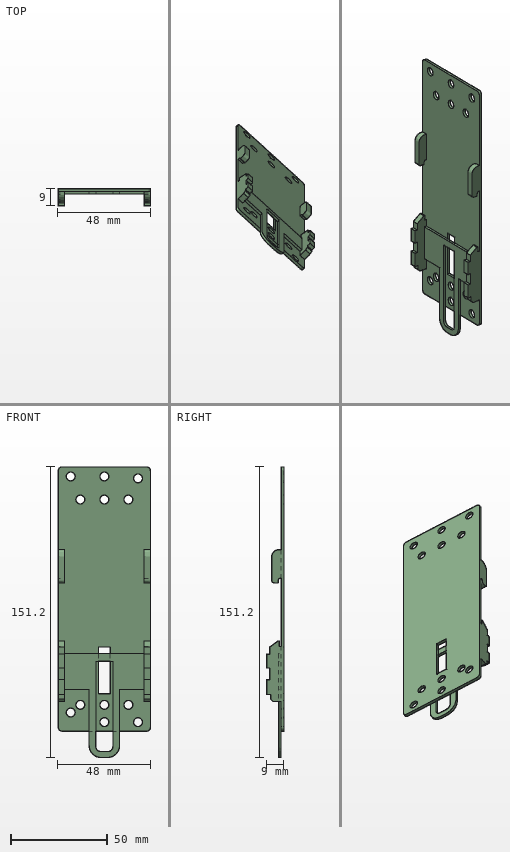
import cadquery as cq
import math


plate_width = 48.0
plate_height = 137.5
plate_thickness = 1.5
plate_corner_radius = 2.0
total_depth = 9.0

hole_diameter = 4.5
outer_hole_x = 17.5
inner_hole_x = 12.5
lower_hole_z = 4.75
lower_left_hole_z = 9.75
inner_lower_hole_z = 13.75
inner_upper_hole_z = 120.5
upper_right_hole_z = 131.5
upper_hole_z = 132.5

window_width = 6.0
window_bottom = 19.6
window_top = 43.7

latch_thickness = 1.35
crossbar_top = 40.5
crossbar_bottom = 21.8
tongue_width = 16.0
tongue_overhang = 13.75
tongue_end_radius = 6.5
slot_width = 8.75
slot_top = 36.4
slot_bottom = -10.5
slot_end_radius = 2.5

tab_width = 3.3

upper_tab_depth = 6.5
upper_tab_top = 94.5
upper_tab_radius = 4.0
upper_tab_root = 79.5
upper_tab_bottom = 77.1
upper_tab_gap_depth = 2.9
upper_gap_radius = 1.0
upper_tip_inner_radius = 0.5
upper_tip_outer_radius = 1.5

lower_tab_depth = 7.5
lower_tab_tip = 47.0
lower_tip_flat = 0.7
lower_tab_gap_bottom = 44.2
lower_tab_gap_depth = 2.4
lower_tab_shoulder = 43.8
lower_tab_bottom = 15.4
lower_end_depth = 7.0
lower_end_chamfer = 1.35
upper_tooth_top = 40.1
upper_tooth_bottom = 32.8
lower_tooth_top = 26.85
lower_tooth_bottom = 19.05


def front_box(width, bottom, top, near_depth, far_depth):
    """Box centred on X that spans the given heights and depths."""
    return (
        cq.Workplane("XY")
        .box(width, far_depth - near_depth, top - bottom, centered=(True, False, False))
        .translate((0, -far_depth, bottom))
    )


def make_plate():
    plate = front_box(plate_width, 0, plate_height, 0, plate_thickness)
    plate = plate.edges("|Y").fillet(plate_corner_radius)
    hole_positions = [
        (0, lower_hole_z),
        (outer_hole_x, lower_hole_z),
        (-outer_hole_x, lower_left_hole_z),
        (-outer_hole_x, upper_hole_z),
        (0, upper_hole_z),
        (outer_hole_x, upper_right_hole_z),
    ]
    for z in (inner_lower_hole_z, inner_upper_hole_z):
        hole_positions += [(x, z) for x in (-inner_hole_x, 0, inner_hole_x)]
    holes = (
        cq.Workplane("XZ")
        .pushPoints(hole_positions)
        .circle(hole_diameter / 2)
        .extrude(plate_thickness)
    )
    window = front_box(window_width, window_bottom, window_top, 0, plate_thickness)
    return plate.cut(holes).cut(window)


def make_latch():
    near = plate_thickness
    far = plate_thickness + latch_thickness
    crossbar = front_box(plate_width, crossbar_bottom, crossbar_top, near, far)
    tongue = front_box(tongue_width, -tongue_overhang, crossbar_top, near, far)
    tongue = tongue.edges("|Y and <Z").fillet(tongue_end_radius)
    slot = front_box(slot_width, slot_bottom, slot_top, near, far)
    slot = slot.edges("|Y and <Z").fillet(slot_end_radius)
    return crossbar.union(tongue).cut(slot)


def upper_tab_profile():
    """Outline in (depth, height), traced from the top of the root around the hook."""
    diagonal = math.sqrt(0.5)
    arc_centre_depth = upper_tab_depth - upper_tab_radius
    arc_centre_z = upper_tab_top - upper_tab_radius
    arc_reach = upper_tab_radius * diagonal
    gap_reach = upper_gap_radius * diagonal
    gap_centre_depth = upper_tab_gap_depth - upper_gap_radius
    gap_centre_z = upper_tab_root - upper_gap_radius
    return (
        cq.Workplane("YZ")
        .moveTo(0, upper_tab_top)
        .lineTo(-arc_centre_depth, upper_tab_top)
        .threePointArc(
            (-arc_centre_depth - arc_reach, arc_centre_z + arc_reach),
            (-upper_tab_depth, arc_centre_z),
        )
        .lineTo(-upper_tab_depth, upper_tab_bottom)
        .lineTo(-upper_tab_gap_depth, upper_tab_bottom)
        .lineTo(-upper_tab_gap_depth, gap_centre_z)
        .threePointArc(
            (-gap_centre_depth - gap_reach, gap_centre_z + gap_reach),
            (-gap_centre_depth, upper_tab_root),
        )
        .lineTo(0, upper_tab_root)
        .close()
    )


def make_upper_tab():
    tab = upper_tab_profile().extrude(tab_width)
    tab = tab.edges("|X and <Z").edges("<Y").fillet(upper_tip_outer_radius)
    inner_corner = (tab_width / 2, -upper_tab_gap_depth, upper_tab_bottom)
    inner_edge = tab.edges(cq.selectors.NearestToPointSelector(inner_corner))
    return inner_edge.fillet(upper_tip_inner_radius)


def make_lower_tab():
    outline = [
        (0, lower_tab_gap_bottom),
        (lower_tab_gap_depth, lower_tab_gap_bottom),
        (lower_tab_gap_depth, lower_tab_tip),
        (lower_tab_gap_depth + lower_tip_flat, lower_tab_tip),
        (lower_tab_depth, lower_tab_shoulder),
        (lower_tab_depth, upper_tooth_top),
        (total_depth, upper_tooth_top),
        (total_depth, upper_tooth_bottom),
        (lower_tab_depth, upper_tooth_bottom),
        (lower_tab_depth, lower_tooth_top),
        (total_depth, lower_tooth_top),
        (total_depth, lower_tooth_bottom),
        (lower_end_depth, lower_tooth_bottom),
        (lower_end_depth, lower_tab_bottom + lower_end_chamfer),
        (lower_end_depth - lower_end_chamfer, lower_tab_bottom),
        (0, lower_tab_bottom),
    ]
    points = [(-depth, z) for depth, z in outline]
    return cq.Workplane("YZ").polyline(points).close().extrude(tab_width)


def add_tab_pair(body, tab):
    """Set one copy of the tab flush with each side of the plate."""
    for inner_side in (-plate_width / 2, plate_width / 2 - tab_width):
        body = body.union(tab.translate((inner_side, 0, 0)))
    return body


body = make_plate().union(make_latch())
body = add_tab_pair(body, make_upper_tab())
result = add_tab_pair(body, make_lower_tab())